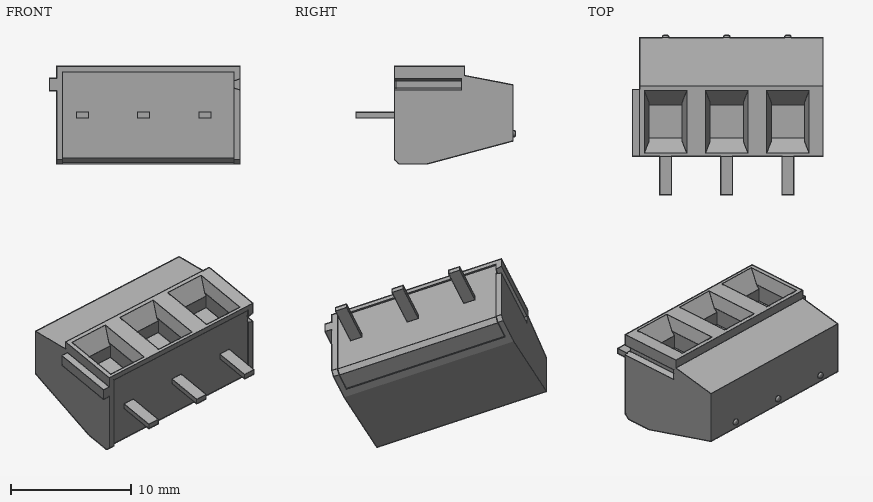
import cadquery as cq
import math


pole_count = 3
pitch = 5.08
end_margin = 2.15
housing_length = pole_count * pitch
x_min = -(pole_count - 1) / 2 * pitch - end_margin
x_max = x_min + housing_length
pole_positions = [(i - (pole_count - 1) / 2) * pitch for i in range(pole_count)]

housing_depth = 9.86
housing_height = 8.13
deck_depth = 5.83
shoulder_height = 7.36
back_top_height = 6.58
back_bottom_height = 1.91
underside_angle = 15
base_chamfer = 0.38
base_length = housing_depth - back_bottom_height / math.tan(math.radians(underside_angle))

relief_border = 0.5
relief_depth = 0.12
relief_base_length = 2.0

tongue_width = 0.61
tongue_height = 1.05
tongue_length = 5.57
tongue_centre_z = 6.61
groove_depth = relief_border
groove_mouth_height = 0.95
groove_floor_height = 0.6

mouth_width = 3.53
mouth_front_y = 0.28
mouth_back_y = 5.46
well_size = 2.75
well_front_y = 1.54
well_back_y = well_front_y + well_size
funnel_side_depth = 1.06
funnel_back_depth = 1.28
funnel_taper = (mouth_back_y - well_back_y) / funnel_back_depth
funnel_front_depth = (well_front_y - mouth_front_y) / funnel_taper
well_floor_depth = 2.54

pin_width = 1.0
pin_thickness = 0.5
pin_length = 3.2
pin_centre_z = housing_height / 2
stud_radius = 0.27
stud_length = 0.21
stud_rounding = 0.15
stud_centre_z = 2.52


def box(x_range, y_range, z_range):
    """Axis-aligned box between the given limits."""
    return (
        cq.Workplane("XY")
        .box(
            x_range[1] - x_range[0],
            y_range[1] - y_range[0],
            z_range[1] - z_range[0],
            centered=False,
        )
        .translate((x_range[0], y_range[0], z_range[0]))
    )


def extrude_side_profile(points, x_start, x_end):
    """Extrude an outline of (y, z) points along X."""
    return cq.Workplane("YZ", origin=(x_start, 0, 0)).polyline(points).close().extrude(x_end - x_start)


def make_housing():
    outline = [
        (0, base_chamfer),
        (0, housing_height),
        (deck_depth, housing_height),
        (deck_depth, shoulder_height),
        (housing_depth, back_top_height),
        (housing_depth, back_bottom_height),
        (base_length, 0),
        (base_chamfer, 0),
    ]
    return extrude_side_profile(outline, x_min, x_max)


def make_relief():
    """Skin removed from the front face, its base chamfer and the front of the base."""
    top = housing_height - relief_border
    outline = [
        (0, 0),
        (0, top),
        (relief_depth, top),
        (relief_depth, relief_depth + base_chamfer),
        (relief_depth + base_chamfer, relief_depth),
        (relief_base_length, relief_depth),
        (relief_base_length, 0),
    ]
    return extrude_side_profile(outline, x_min + relief_border, x_max - relief_border)


def make_tongue():
    z_bottom = tongue_centre_z - tongue_height / 2
    return box((x_min - tongue_width, x_min), (0, tongue_length), (z_bottom, z_bottom + tongue_height))


def make_groove():
    """Groove in the far end, narrowing from its mouth to its floor."""
    outline = [
        (x_max, tongue_centre_z + groove_mouth_height / 2),
        (x_max - groove_depth, tongue_centre_z + groove_floor_height / 2),
        (x_max - groove_depth, tongue_centre_z - groove_floor_height / 2),
        (x_max, tongue_centre_z - groove_mouth_height / 2),
    ]
    return cq.Workplane("XZ").polyline(outline).close().extrude(-tongue_length)


def make_socket(x):
    """Funnel whose side tapers end above its front and back tapers, plus the well."""
    z_side = housing_height - funnel_side_depth
    z_back = housing_height - funnel_back_depth
    z_front = housing_height - funnel_front_depth
    z_floor = housing_height - well_floor_depth
    lengthwise = extrude_side_profile(
        [
            (mouth_front_y, housing_height),
            (mouth_back_y, housing_height),
            (well_back_y, z_back),
            (well_back_y, z_floor),
            (well_front_y, z_floor),
            (well_front_y, z_front),
        ],
        x - mouth_width / 2,
        x + mouth_width / 2,
    )
    crosswise = (
        cq.Workplane("XZ")
        .polyline(
            [
                (x - mouth_width / 2, housing_height),
                (x + mouth_width / 2, housing_height),
                (x + well_size / 2, z_side),
                (x + well_size / 2, z_floor),
                (x - well_size / 2, z_floor),
                (x - well_size / 2, z_side),
            ]
        )
        .close()
        .extrude(-housing_depth)
    )
    return lengthwise.intersect(crosswise)


def make_pin(x):
    return box(
        (x - pin_width / 2, x + pin_width / 2),
        (-pin_length, relief_depth),
        (pin_centre_z - pin_thickness / 2, pin_centre_z + pin_thickness / 2),
    )


def make_stud(x):
    return (
        cq.Workplane("XZ", origin=(x, housing_depth, stud_centre_z))
        .circle(stud_radius)
        .extrude(-stud_length)
        .faces(">Y")
        .edges()
        .fillet(stud_rounding)
    )


result = make_housing().cut(make_relief()).cut(make_groove()).union(make_tongue())
for pole_x in pole_positions:
    result = result.cut(make_socket(pole_x)).union(make_pin(pole_x)).union(make_stud(pole_x))